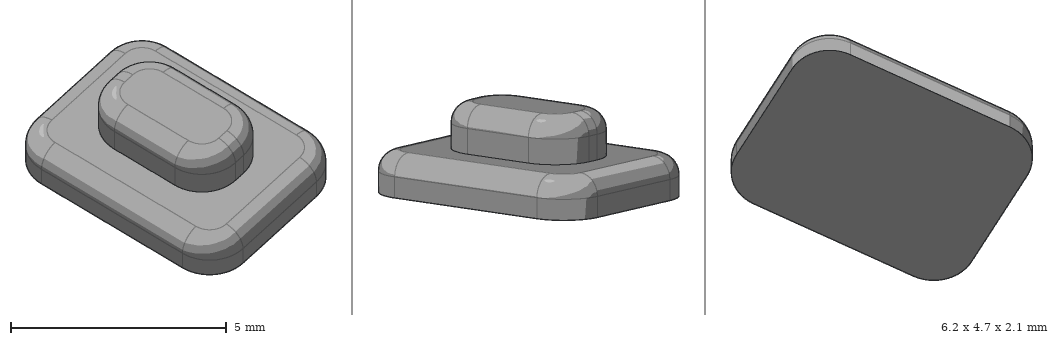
import cadquery as cq

base_length = 6.2
base_width = 4.7
base_height = 1.0
total_height = 2.1
boss_length = 3.8
boss_width = 2.3
corner_radius = 1.0
edge_radius = corner_radius / 2

boss_height = total_height - base_height


def rounded_block(length, width, height):
    """Block on the XY plane with rounded vertical corners and a rounded upper rim."""
    return (
        cq.Workplane("XY")
        .box(length, width, height, centered=(True, True, False))
        .edges("|Z")
        .fillet(corner_radius)
        .faces(">Z")
        .edges()
        .fillet(edge_radius)
    )


base = rounded_block(base_length, base_width, base_height)

boss = rounded_block(boss_length, boss_width, boss_height).translate((0, 0, base_height))

result = base.union(boss)